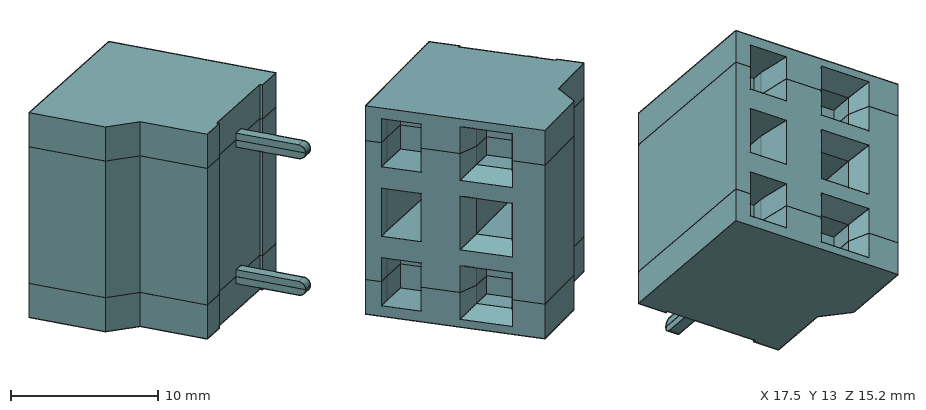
import cadquery as cq


TOTAL_LENGTH = 17.5
HEIGHT = 15.25
POLE_COUNT = 3
POLE_PITCH = HEIGHT / POLE_COUNT
TOP = HEIGHT / 2

DEPTH = 12.5
WIDTH = 13.0
STEP_HEIGHT = 1.78
STEP_START = 5.7
NOTCH_DEPTH = 0.2
NOTCH_LOW = 3.76
NOTCH_HIGH = 10.78

PIN_WIDTH = 1.03
PIN_THICKNESS = 0.8
PIN_CENTRE_Y = 7.28

OUTER_FLOOR = 3.5
CENTRE_FLOOR = 10.85

RELEASE_HEIGHT = 3.52
RELEASE_LOW = 8.96
RELEASE_HIGH = 11.83
RELEASE_RAMP_RISE = 0.4
RELEASE_RAMP_DEPTH = 2.62
RELEASE_STRAIGHT = 1.05
RELEASE_DRAFT = 0.33

FUNNEL_DEPTH = 1.63
FUNNEL_LOW = 2.35
FUNNEL_HIGH = 6.15
FUNNEL_HEIGHT = 3.92
SHAFT_LOW = 2.98
SHAFT_HIGH = 5.56
SHAFT_HEIGHT = 2.66
SHAFT_DRAFT = 0.05


def housing_block(z_bottom, z_top):
    """Solid slab with the housing outline between two heights."""
    notch_floor = DEPTH - NOTCH_DEPTH
    outline = [
        (0, 0),
        (STEP_START, 0),
        (STEP_START + STEP_HEIGHT, STEP_HEIGHT),
        (DEPTH, STEP_HEIGHT),
        (DEPTH, NOTCH_LOW),
        (notch_floor, NOTCH_LOW),
        (notch_floor, NOTCH_HIGH),
        (DEPTH, NOTCH_HIGH),
        (DEPTH, WIDTH),
        (0, WIDTH),
    ]
    base = cq.Workplane("XY", origin=(0, 0, z_bottom))
    return base.polyline(outline).close().extrude(z_top - z_bottom)


def release_socket(z_centre, floor):
    """Cavity with a steep ramp on its -Y side and a slight draft on its +Y side."""
    draft = RELEASE_DRAFT * (floor - RELEASE_STRAIGHT) / (CENTRE_FLOOR - RELEASE_STRAIGHT)
    ramp_end = RELEASE_LOW + RELEASE_RAMP_RISE
    profile = [
        (0, RELEASE_LOW),
        (RELEASE_RAMP_DEPTH, ramp_end),
        (floor, ramp_end),
        (floor, RELEASE_HIGH - draft),
        (RELEASE_STRAIGHT, RELEASE_HIGH),
        (0, RELEASE_HIGH),
    ]
    base = cq.Workplane("XY", origin=(0, 0, z_centre - RELEASE_HEIGHT / 2))
    return base.polyline(profile).close().extrude(RELEASE_HEIGHT)


def wire_socket(z_centre, floor, shaft_draft):
    """Cavity with a four-sided funnel and a shaft behind it."""
    mouth_middle = (FUNNEL_LOW + FUNNEL_HIGH) / 2
    shaft_middle = (SHAFT_LOW + SHAFT_HIGH) / 2
    funnel = (
        cq.Workplane("YZ", origin=(0, mouth_middle, z_centre))
        .rect(FUNNEL_HIGH - FUNNEL_LOW, FUNNEL_HEIGHT)
        .workplane(offset=FUNNEL_DEPTH)
        .center(shaft_middle - mouth_middle, 0)
        .rect(SHAFT_HIGH - SHAFT_LOW, SHAFT_HEIGHT)
        .loft(ruled=True)
    )
    shaft_profile = [
        (FUNNEL_DEPTH, SHAFT_LOW),
        (floor, SHAFT_LOW),
        (floor, SHAFT_HIGH - shaft_draft),
        (FUNNEL_DEPTH, SHAFT_HIGH),
    ]
    base = cq.Workplane("XY", origin=(0, 0, z_centre - SHAFT_HEIGHT / 2))
    shaft = base.polyline(shaft_profile).close().extrude(SHAFT_HEIGHT)
    return funnel.union(shaft)


def half_pin(z_centre, side):
    """Half of a solder pin, above (side = 1) or below (side = -1) its middle plane."""
    start = DEPTH - NOTCH_DEPTH
    radius = PIN_WIDTH / 2
    tip_start = TOTAL_LENGTH - radius
    diagonal = radius * 0.5 ** 0.5
    return (
        cq.Workplane("XZ", origin=(0, PIN_CENTRE_Y + PIN_THICKNESS / 2, z_centre))
        .moveTo(start, 0)
        .lineTo(TOTAL_LENGTH, 0)
        .threePointArc((tip_start + diagonal, side * diagonal), (tip_start, side * radius))
        .lineTo(start, side * radius)
        .close()
        .extrude(PIN_THICKNESS)
    )


def cut_outer_pole(block, z_centre):
    """Cut both sockets of an outer pole, as far as they reach into the block."""
    block = block.cut(release_socket(z_centre, OUTER_FLOOR))
    return block.cut(wire_socket(z_centre, OUTER_FLOOR, SHAFT_DRAFT))


def make_end_segment(side):
    """Outer half of an end pole, at the top (side = 1) or bottom (side = -1)."""
    pole = side * POLE_PITCH
    z_bottom, z_top = sorted((pole, side * TOP))
    segment = cut_outer_pole(housing_block(z_bottom, z_top), pole)
    return segment.union(half_pin(pole, side))


def make_middle_segment():
    """Centre pole and the inner halves of the two outer poles."""
    segment = housing_block(-POLE_PITCH, POLE_PITCH)
    segment = segment.cut(release_socket(0, CENTRE_FLOOR))
    segment = segment.cut(wire_socket(0, CENTRE_FLOOR, 0))
    for side in (-1, 1):
        pole = side * POLE_PITCH
        segment = cut_outer_pole(segment, pole)
        segment = segment.union(half_pin(pole, -side))
    return segment


middle_segment = make_middle_segment()
end_segments = [make_end_segment(side) for side in (-1, 1)]

result = cq.Compound.makeCompound(
    [middle_segment.val(), *[segment.val() for segment in end_segments]]
)